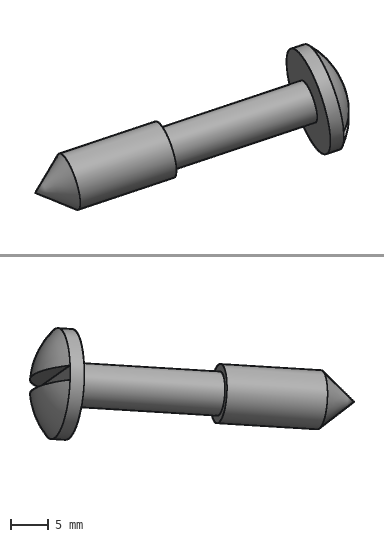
import cadquery as cq

total_length = 45.0
head_diameter = 15.0
shank_diameter = 6.0
body_diameter = 8.0
tip_length = 4.9
body_length = 14.1
shank_length = 21.0
rim_thickness = 2.0
slot_width = 2.0

head_radius = head_diameter / 2
shank_radius = shank_diameter / 2
body_radius = body_diameter / 2

body_start = tip_length
body_end = body_start + body_length
head_start = body_end + shank_length
rim_end = head_start + rim_thickness

slot_half = slot_width / 2
dome_center = (
    total_length**2 + slot_half**2 - rim_end**2 - head_radius**2
) / (2 * (total_length - rim_end))
dome_radius = ((total_length - dome_center) ** 2 + slot_half**2) ** 0.5
crown = dome_center + dome_radius
dome_mid_radius = head_radius / 2
dome_mid = dome_center + (dome_radius**2 - dome_mid_radius**2) ** 0.5

screw = (
    cq.Workplane("XY")
    .lineTo(body_radius, body_start)
    .lineTo(body_radius, body_end)
    .lineTo(shank_radius, body_end)
    .lineTo(shank_radius, head_start)
    .lineTo(head_radius, head_start)
    .lineTo(head_radius, rim_end)
    .threePointArc((dome_mid_radius, dome_mid), (0, crown))
    .close()
    .revolve(360, (0, 0, 0), (0, 1, 0))
)

slot_depth = crown - rim_end
slot = (
    cq.Workplane("XY")
    .box(head_diameter, slot_depth, slot_width, centered=(True, False, True))
    .translate((0, rim_end, 0))
)

result = screw.cut(slot)